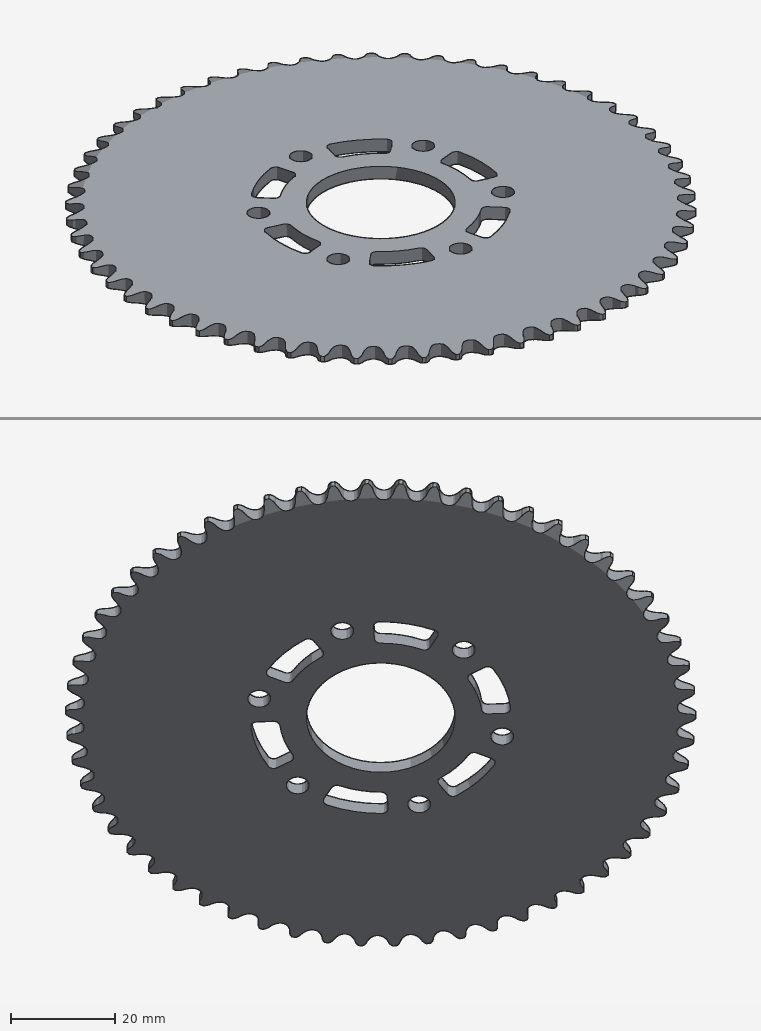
import cadquery as cq
import math


tooth_count = 58
outer_diameter = 121.0
thickness = 2.8

tooth_step = 360 / tooth_count
tooth_height_factor = 0.6
roller_to_pitch_ratio = 0.52
chain_pitch = outer_diameter / (tooth_height_factor + 1 / math.tan(math.radians(tooth_step / 2)))
roller_diameter = roller_to_pitch_ratio * chain_pitch

shoulder_radius = 57.3
tip_thickness = 1.2

bore_diameter = 28.5
bolt_circle_radius = 23.8
bolt_hole_diameter = 4.4
hub_opening_count = 6
first_hole_angle = 90
first_slot_angle = 0
slot_inner_radius = 19.5
slot_outer_radius = 25.0
slot_half_angle = 15.3
slot_corner_radius = 1.2

seat_clearance = 0.04
pitch_radius = chain_pitch / 2 / math.sin(math.radians(tooth_step / 2))
seat_radius = 0.5025 * roller_diameter + seat_clearance
flank_radius = 1.3025 * roller_diameter + seat_clearance
flank_center_offset = 0.8 * roller_diameter
tip_center_offset = 1.4 * roller_diameter
seat_half_angle = 55 - 60 / tooth_count
flank_angle = 18 - 56 / tooth_count
tip_angle = 17 - 64 / tooth_count
tip_radius = (
    flank_center_offset * math.cos(math.radians(flank_angle))
    + tip_center_offset * math.cos(math.radians(tip_angle))
    - flank_radius
)


def bottom_plane():
    """Workplane on the lower face of the plate."""
    return cq.Workplane("XY", origin=(0, 0, -thickness / 2))


def polar(radius, angle, center=(0, 0)):
    """Point at a radius and an angle in degrees about a center."""
    x = center[0] + radius * math.cos(math.radians(angle))
    y = center[1] + radius * math.sin(math.radians(angle))
    return x, y


def half_gap_points():
    """Points of one half of the tooth gap on +X, from the gap bottom up to the tooth apex."""
    roller_center = (pitch_radius, 0)
    gap_bottom = (pitch_radius - seat_radius, 0)

    seat_end_angle = 180 - seat_half_angle
    seat_mid = polar(seat_radius, 180 - seat_half_angle / 2, roller_center)
    seat_end = polar(seat_radius, seat_end_angle, roller_center)

    flank_center = polar(flank_center_offset, seat_end_angle - 180, roller_center)
    flank_end_angle = seat_end_angle - flank_angle
    flank_mid = polar(flank_radius, seat_end_angle - flank_angle / 2, flank_center)
    flank_end = polar(flank_radius, flank_end_angle, flank_center)

    tip_center = polar(tip_center_offset, 90 + tooth_step / 2, roller_center)
    tip_start_angle = flank_end_angle - 180
    axis_distance = tip_center_offset - chain_pitch / 2
    apex_angle = tooth_step / 2 - math.degrees(math.asin(axis_distance / tip_radius))
    tip_start = polar(tip_radius, tip_start_angle, tip_center)
    tip_mid = polar(tip_radius, (tip_start_angle + apex_angle) / 2, tip_center)
    apex = polar(tip_radius, apex_angle, tip_center)

    return [gap_bottom, seat_mid, seat_end, flank_mid, flank_end, tip_start, tip_mid, apex]


def turned(point, angle):
    """Point turned about the origin by an angle in degrees."""
    return polar(math.hypot(*point), math.degrees(math.atan2(point[1], point[0])) + angle)


def make_toothed_plate():
    """Flat plate with pointed teeth; one tooth lies on +X."""
    rising_side = half_gap_points()
    falling_side = [(x, -y) for x, y in reversed(rising_side)]
    gap_angles = [(i + 0.5) * tooth_step for i in range(tooth_count)]

    outline = bottom_plane().moveTo(*turned(falling_side[0], gap_angles[0]))
    for gap_angle in gap_angles:
        fall = [turned(point, gap_angle) for point in falling_side]
        rise = [turned(point, gap_angle) for point in rising_side]
        outline = (
            outline.threePointArc(fall[1], fall[2])
            .lineTo(*fall[3])
            .threePointArc(fall[4], fall[5])
            .threePointArc(rise[0], rise[2])
            .threePointArc(rise[3], rise[4])
            .lineTo(*rise[5])
            .threePointArc(rise[6], rise[7])
        )
    return outline.close().extrude(thickness)


def make_turned_blank():
    """Disc that trims the tooth tips to the outer diameter and bevels both tooth faces."""
    half_section = [
        (0, -thickness / 2),
        (shoulder_radius, -thickness / 2),
        (outer_diameter / 2, -tip_thickness / 2),
        (outer_diameter / 2, tip_thickness / 2),
        (shoulder_radius, thickness / 2),
        (0, thickness / 2),
    ]
    return cq.Workplane("XZ").polyline(half_section).close().revolve(360, (0, 0), (0, 1))


def make_round_holes():
    """Cutters for the bore and the ring of bolt holes."""
    bore = bottom_plane().circle(bore_diameter / 2).extrude(thickness)
    holes = (
        bottom_plane()
        .polarArray(bolt_circle_radius, first_hole_angle, 360, hub_opening_count)
        .circle(bolt_hole_diameter / 2)
        .extrude(thickness)
    )
    return bore.union(holes)


def make_slot(angle):
    """Cutter for one curved slot with radial ends and rounded corners."""
    start = angle - slot_half_angle
    end = angle + slot_half_angle
    return (
        bottom_plane()
        .moveTo(*polar(slot_inner_radius, start))
        .lineTo(*polar(slot_outer_radius, start))
        .threePointArc(polar(slot_outer_radius, angle), polar(slot_outer_radius, end))
        .lineTo(*polar(slot_inner_radius, end))
        .threePointArc(polar(slot_inner_radius, angle), polar(slot_inner_radius, start))
        .close()
        .extrude(thickness)
        .edges("|Z")
        .fillet(slot_corner_radius)
    )


result = make_toothed_plate().intersect(make_turned_blank()).cut(make_round_holes())
for i in range(hub_opening_count):
    result = result.cut(make_slot(first_slot_angle + i * 360 / hub_opening_count))